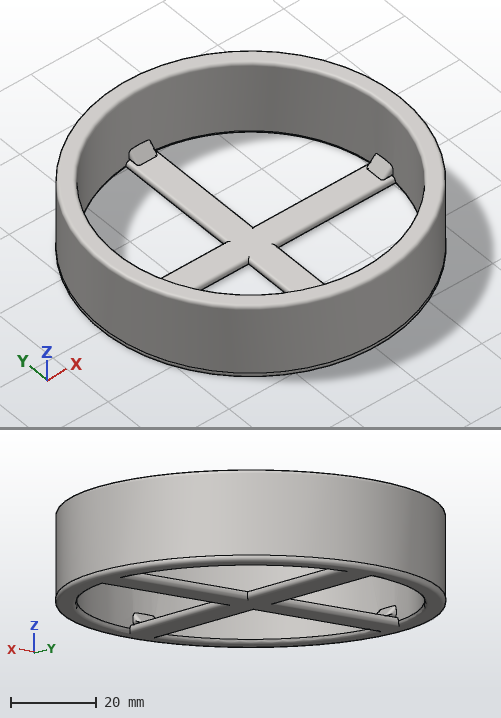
import cadquery as cq

outer_diameter = 91.0
inner_diameter = 81.0
height = 22.0
edge_radius = 1.0

base_height = 2.0
base_edge_radius = 0.9
base_overhang = 0.1

spoke_width = 8.5

gusset_leg = 3.1
gusset_width = spoke_width - 2 * base_edge_radius
gusset_edge_radius = 0.8

inner_radius = inner_diameter / 2
wall = (outer_diameter - inner_diameter) / 2
middle_radius = inner_radius + wall / 2


def make_ring():
    """Rounded ring wall standing on a slightly wider base with rounded edges."""
    outer_radius = outer_diameter / 2
    wall_radius = outer_radius - base_overhang
    wall_ring = cq.Workplane("XY").circle(wall_radius).circle(inner_radius).extrude(height)
    wall_ring = wall_ring.edges("%CIRCLE").fillet(edge_radius)
    base = cq.Workplane("XY").circle(outer_radius).extrude(base_height)
    base = base.edges().fillet(base_edge_radius)
    opening = cq.Workplane("XY").circle(middle_radius).extrude(base_height)
    return wall_ring.union(base.cut(opening))


def make_cross():
    """Two crossed flat spokes with rounded long edges."""
    length = 2 * middle_radius
    centered = (True, True, False)
    along_x = cq.Workplane("XY").box(length, spoke_width, base_height, centered=centered)
    along_y = cq.Workplane("XY").box(spoke_width, length, base_height, centered=centered)
    return along_x.union(along_y).faces("<Z or >Z").edges().fillet(base_edge_radius)


def make_gusset():
    """45 degree wedge on the +X spoke, rounded along both sides of its slope."""
    start = inner_radius - gusset_leg
    run = middle_radius - start
    wedge = (
        cq.Workplane("XZ")
        .moveTo(start, base_height)
        .line(run, run)
        .line(0, -run)
        .close()
        .extrude(gusset_width / 2, both=True)
    )
    sloped_edges = wedge.faces("<X").edges("not |Y")
    return sloped_edges.fillet(gusset_edge_radius)


result = make_ring().union(make_cross())
gusset = make_gusset()
for quarter in range(4):
    result = result.union(gusset.rotate((0, 0, 0), (0, 0, 1), 90 * quarter))